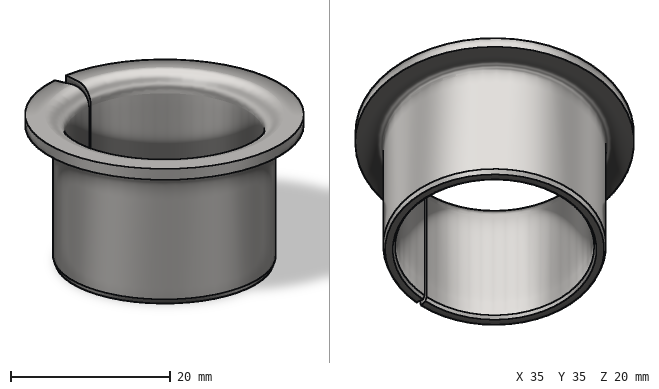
import cadquery as cq
import math

bore_radius = 12.5
wall = 1.5
flange_radius = 17.5
length = 20.0
bend_radius = 1.0
outer_chamfer_height = 0.7
outer_chamfer_angle = 20.0
inner_chamfer_height = 0.5
inner_chamfer_angle = 30.0
gap_at_bore = 0.35
gap_half_angle = 10.0

body_radius = bore_radius + wall
flange_underside = length - wall
mouth_radius = bend_radius + wall
bend_center_radius = body_radius + bend_radius
bend_center_height = flange_underside - bend_radius
outer_chamfer_width = outer_chamfer_height * math.tan(math.radians(outer_chamfer_angle))
inner_chamfer_width = inner_chamfer_height * math.tan(math.radians(inner_chamfer_angle))


def bend_point(radius):
    """Midpoint of a quarter arc of the bend, for the given arc radius."""
    offset = radius * math.cos(math.radians(45))
    return (bend_center_radius - offset, bend_center_height + offset)


def make_sleeve():
    """Unsplit sleeve of even wall, bent outward at the top into the flange."""
    profile = (
        cq.Workplane("XZ")
        .moveTo(bore_radius + inner_chamfer_width, 0)
        .lineTo(body_radius - outer_chamfer_width, 0)
        .lineTo(body_radius, outer_chamfer_height)
        .lineTo(body_radius, bend_center_height)
        .threePointArc(bend_point(bend_radius), (bend_center_radius, flange_underside))
        .lineTo(flange_radius, flange_underside)
        .lineTo(flange_radius, length)
        .lineTo(bend_center_radius, length)
        .threePointArc(bend_point(mouth_radius), (bore_radius, bend_center_height))
        .lineTo(bore_radius, inner_chamfer_height)
        .close()
    )
    sleeve = profile.revolve(360, (0, 0, 0), (0, 1, 0))
    return sleeve.rotate((0, 0, 0), (0, 0, 1), 180)


def make_split():
    """Wedge on the -X side that opens outward through wall and flange."""
    slope = math.tan(math.radians(gap_half_angle))
    tip_x = -bore_radius + gap_at_bore / 2 / slope
    outer_x = -flange_radius - wall
    outer_half_width = (tip_x - outer_x) * slope
    corners = [(tip_x, 0), (outer_x, outer_half_width), (outer_x, -outer_half_width)]
    return cq.Workplane("XY").polyline(corners).close().extrude(length)


result = make_sleeve().cut(make_split())